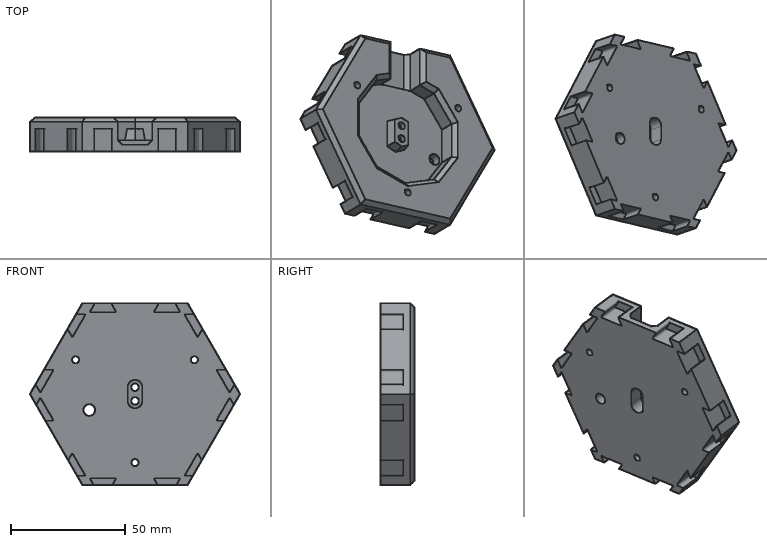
import math

import cadquery as cq

HEX_SIDES = 6
CORNER_WIDTH = 92.0
THICKNESS = 15.0
RIM_CHAMFER = 2.0
APOTHEM = CORNER_WIDTH / 2 * math.cos(math.pi / HEX_SIDES)

SOCKET_HEIGHT = 10.0
SOCKET_SPACING = 28.0
SOCKET_THROAT_WIDTH = 7.0
SOCKET_BASE_DISTANCE = 36.4
SOCKET_CORNER_RADIUS = 0.3
SOCKET_FLANK_ANGLE = 60.0
SOCKET_PATTERN_DROP = 0.5
SOCKET_CLEARANCE = 2.0

FLOOR_THICKNESS = 5.0
CAVITY_SIDES = 10
CAVITY_CORNER_RADIUS = 25.0
CAVITY_FIRST_CORNER = -90
MOUTH_CHAMFER = 2.0
CAVITY_DEPTH = THICKNESS - FLOOR_THICKNESS

CHANNEL_HALF_WIDTH = 7.5
CHANNEL_FLOOR = 3.0
CHANNEL_CHAMFER = 2.0

SCREW_CIRCLE_RADIUS = 30.0
SCREW_ANGLES = (30, 150, 270)
SCREW_HOLE_DIAMETER = 3.0

CENTRE_HOLE_DIAMETER = 3.2
CENTRE_HOLE_SPACING = 6.0
RECESS_WIDTH = 6.4
RECESS_DEPTH = 7.0

BOSS_HALF_WIDTH = 4.35
BOSS_HEIGHT = 5.0
BOSS_DRAFT = 10.0
BOSS_NOSE_ANGLE = 22.5

CABLE_HOLE_DIAMETER = 5.0
CABLE_HOLE_X = -20.0
CABLE_HOLE_Z = -7.0


def plane_at(y):
    """Plane at height y whose local axes are X and -Z and whose normal is +Y."""
    return cq.Workplane(cq.Plane(origin=(0, y, 0), xDir=(1, 0, 0), normal=(0, 1, 0)))


def polar(radius, degrees):
    """Local plane point at an angle measured from +X towards +Z."""
    angle = math.radians(degrees)
    return (radius * math.cos(angle), -radius * math.sin(angle))


def polygon_corners(sides, radius, first_angle):
    """Corners of a regular polygon, the first one at first_angle."""
    return [polar(radius, first_angle + 360 / sides * i) for i in range(sides)]


def regular_polygon(y, sides, radius, first_angle):
    """Closed regular polygon drawn at height y."""
    return plane_at(y).polyline(polygon_corners(sides, radius, first_angle)).close()


def make_body():
    body = regular_polygon(0, HEX_SIDES, CORNER_WIDTH / 2, 0).extrude(THICKNESS)
    return body.faces(">Y").chamfer(RIM_CHAMFER)


def make_cavity():
    """Straight-walled cavity with its mouth chamfered outwards at the back face."""
    outline = (CAVITY_SIDES, CAVITY_CORNER_RADIUS, CAVITY_FIRST_CORNER)
    cavity = regular_polygon(FLOOR_THICKNESS, *outline).extrude(CAVITY_DEPTH)
    mouth_radius = CAVITY_CORNER_RADIUS + MOUTH_CHAMFER / math.cos(math.pi / CAVITY_SIDES)
    mouth_corners = polygon_corners(CAVITY_SIDES, mouth_radius, CAVITY_FIRST_CORNER)
    mouth = regular_polygon(THICKNESS - MOUTH_CHAMFER, *outline).workplane(offset=MOUTH_CHAMFER)
    mouth = mouth.polyline(mouth_corners).close().loft(ruled=True)
    return cavity.union(mouth)


def make_channel():
    """Channel with chamfered floor corners and a flared mouth, starting at the cavity wall."""
    wall_slope = math.tan(math.pi / CAVITY_SIDES)
    start = CAVITY_CORNER_RADIUS - CHANNEL_HALF_WIDTH * wall_slope
    right_side = [
        (CHANNEL_HALF_WIDTH - CHANNEL_CHAMFER, CHANNEL_FLOOR),
        (CHANNEL_HALF_WIDTH, CHANNEL_FLOOR + CHANNEL_CHAMFER),
        (CHANNEL_HALF_WIDTH, THICKNESS - MOUTH_CHAMFER),
        (CHANNEL_HALF_WIDTH + MOUTH_CHAMFER, THICKNESS),
    ]
    left_side = [(-x, y) for x, y in reversed(right_side)]
    profile = cq.Workplane("XY", origin=(0, 0, start)).polyline(right_side + left_side).close()
    return profile.extrude(CORNER_WIDTH / 2 - start)


def make_boss():
    """Boss whose walls keep BOSS_HALF_WIDTH from the screw axes at its foot."""
    nose_angle = math.radians(BOSS_NOSE_ANGLE)
    nose_z = CENTRE_HOLE_SPACING / 2 + BOSS_HALF_WIDTH / math.cos(nose_angle)
    shoulder_z = nose_z - BOSS_HALF_WIDTH * math.tan(nose_angle)
    outline = [
        (0, nose_z),
        (BOSS_HALF_WIDTH, shoulder_z),
        (BOSS_HALF_WIDTH, -shoulder_z),
        (0, -nose_z),
        (-BOSS_HALF_WIDTH, -shoulder_z),
        (-BOSS_HALF_WIDTH, shoulder_z),
    ]
    boss = plane_at(FLOOR_THICKNESS).polyline(outline).close()
    return boss.extrude(BOSS_HEIGHT, taper=BOSS_DRAFT)


def make_socket(offset):
    """Dovetail cutter for the +Z side, centred at X = offset."""
    throat_distance = APOTHEM + SOCKET_PATTERN_DROP
    flank_height = throat_distance - SOCKET_BASE_DISTANCE
    half_throat = SOCKET_THROAT_WIDTH / 2
    half_base = half_throat + flank_height / math.tan(math.radians(SOCKET_FLANK_ANGLE))
    half_mouth = half_throat + SOCKET_CLEARANCE
    right_side = [
        (half_base, SOCKET_BASE_DISTANCE),
        (half_throat, throat_distance),
        (half_mouth, throat_distance),
        (half_mouth, throat_distance + SOCKET_CLEARANCE),
    ]
    left_side = [(-x, z) for x, z in reversed(right_side)]
    outline = [(offset + x, -z) for x, z in right_side + left_side]
    socket = plane_at(0).polyline(outline).close().extrude(SOCKET_HEIGHT)
    return socket.edges("|Y").fillet(SOCKET_CORNER_RADIUS)


def turn(shape, degrees):
    """Rotate about the tile's Y axis."""
    return shape.rotate((0, 0, 0), (0, 1, 0), degrees)


def hole(x, z, diameter):
    """Cutter for a round hole through the whole thickness."""
    return plane_at(0).center(x, -z).circle(diameter / 2).extrude(THICKNESS)


def cut_sockets(body):
    for side in range(HEX_SIDES):
        for offset in (-SOCKET_SPACING / 2, SOCKET_SPACING / 2):
            socket = turn(make_socket(offset), 360 / HEX_SIDES * side)
            body = body.cut(socket.translate((0, 0, -SOCKET_PATTERN_DROP)))
    return body


def cut_holes(body):
    for angle in SCREW_ANGLES:
        x, local_y = polar(SCREW_CIRCLE_RADIUS, angle)
        body = body.cut(hole(x, -local_y, SCREW_HOLE_DIAMETER))
    for z in (-CENTRE_HOLE_SPACING / 2, CENTRE_HOLE_SPACING / 2):
        body = body.cut(hole(0, z, CENTRE_HOLE_DIAMETER))
    recess = plane_at(0).slot2D(CENTRE_HOLE_SPACING + RECESS_WIDTH, RECESS_WIDTH, 90)
    body = body.cut(recess.extrude(RECESS_DEPTH))
    return body.cut(hole(CABLE_HOLE_X, CABLE_HOLE_Z, CABLE_HOLE_DIAMETER))


result = make_body().cut(make_cavity()).cut(make_channel()).union(make_boss())
result = cut_holes(cut_sockets(result))